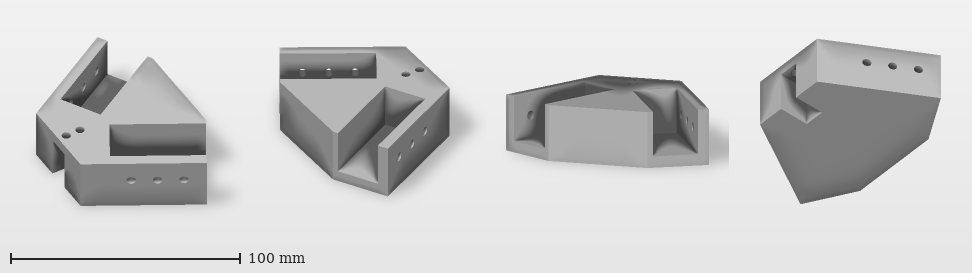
import cadquery as cq
import math

overall_width = 80.2
height = 25.0
arm_angle = 30.0
nose_width = 37.6
arm_length = overall_width / math.cos(math.radians(arm_angle)) - nose_width

outer_wall = 5.0
pocket_width = 20.0
pocket_length = 42.1
pocket_depth = 20.0
inner_lip = 2.5
arm_width = outer_wall + pocket_width + inner_lip

hole_diameter = 4.0
wall_hole_end_distance = 9.95
wall_hole_pitch = 11.5
wall_hole_count = 3
wall_hole_depth_from_top = 10.0
slot_width = 10.0
slot_depth = 15.0
slot_height = 20.0
nose_hole_distances = (4.0, 11.0)


def place_left_arm(shape):
    """Move a shape drawn along +Y, outer wall on X = 0, onto the left arm."""
    turned = shape.rotate((0, 0, 0), (0, 0, 1), arm_angle)
    return turned.translate((-nose_width / 2, 0, 0))


def arm_point(across, along):
    """Plan position on the left arm, from its outer wall and its nose corner."""
    cosine = math.cos(math.radians(arm_angle))
    sine = math.sin(math.radians(arm_angle))
    return (across * cosine - along * sine - nose_width / 2, across * sine + along * cosine)


def make_body():
    left_side = [arm_point(0, 0), arm_point(0, arm_length), arm_point(arm_width, arm_length)]
    right_side = [(-x, y) for x, y in reversed(left_side)]
    return cq.Workplane("XY").polyline(left_side + right_side).close().extrude(height)


def make_left_arm_cuts():
    pocket = (
        cq.Workplane("XY")
        .box(pocket_width, pocket_length, pocket_depth, centered=False)
        .translate((outer_wall, arm_length - pocket_length, height - pocket_depth))
    )
    hole_positions = [
        (arm_length - wall_hole_end_distance - i * wall_hole_pitch, height - wall_hole_depth_from_top)
        for i in range(wall_hole_count)
    ]
    holes = (
        cq.Workplane("YZ")
        .pushPoints(hole_positions)
        .circle(hole_diameter / 2)
        .extrude(outer_wall + pocket_width / 2)
    )
    return place_left_arm(pocket.union(holes))


def make_nose_cuts():
    slot = cq.Workplane("XY").box(slot_width, slot_depth, slot_height, centered=(True, False, False))
    holes = (
        cq.Workplane("XY")
        .pushPoints([(0, distance) for distance in nose_hole_distances])
        .circle(hole_diameter / 2)
        .extrude(height)
    )
    return slot.union(holes)


left_arm_cuts = make_left_arm_cuts()
right_arm_cuts = left_arm_cuts.mirror("YZ")
body = make_body().cut(left_arm_cuts).cut(right_arm_cuts).cut(make_nose_cuts())

result = body.rotate((0, 0, 0), (0, 0, 1), -arm_angle)